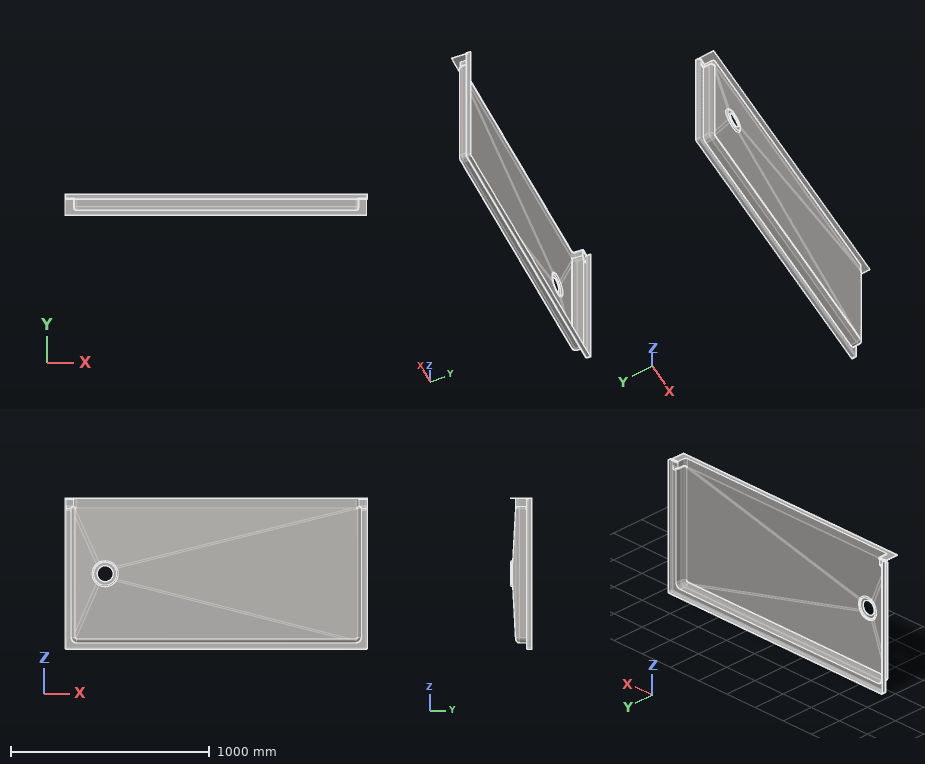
import cadquery as cq
import math

length = 1524.0
depth = 107.0
height = 762.0
sheet = 3.0

rim_y = 80.0
rim_fold = 8.0
rim_corner = 9.0

basin_side = 30.0
basin_bottom = 32.0
basin_top = 721.0
basin_corner = 29.0
basin_fillet = 21.0
basin_shoulder = 12.0
floor_y = 25.0

neck_side = 44.0
neck_fillet = 14.0
neck_overlap = 45.0

slope_start = 40.0
slope_top = 713.0
sump_y = 8.0
sump_half = 25.0
left_strip_width = 17.0
right_strip_width = 9.0

drain_x = 203.0
drain_z = height / 2
boss_radius = 65.0
boss_fillet = 8.0
hole_radius = 40.0

flange_length = 1520.0

bead_low = 703.0
bead_crest = 710.0
bead_high = 722.0
bead_rise = 3.0

cut_size = 3 * length


def block(x0, x1, y0, y1, z0, z1):
    """Box between two opposite corners."""
    return cq.Workplane("XY").box(x1 - x0, y1 - y0, z1 - z0, centered=False).translate((x0, y0, z0))


def drain_cylinder(radius, y0, y1):
    """Cylinder on the drain axis from y0 to y1."""
    axis = cq.Vector(0, 1, 0)
    return cq.Workplane(cq.Solid.makeCylinder(radius, y1 - y0, cq.Vector(drain_x, y0, drain_z), axis))


def rectangle_corners(x0, x1, y, z0, z1):
    """Corners of a rectangle facing -Y, counter-clockwise from the lower left."""
    return [cq.Vector(x0, y, z0), cq.Vector(x1, y, z0), cq.Vector(x1, y, z1), cq.Vector(x0, y, z1)]


def floor_crown():
    """Sloped part of the floor, reaching from the ends of the wall fillets to the drain."""
    x0 = basin_side + basin_fillet
    x1 = length - x0
    z0 = basin_bottom + basin_fillet
    crown = block(x0, x1, sump_y, floor_y + basin_fillet / 2, z0, slope_top)
    crown = crown.edges("|Y").fillet(basin_corner - basin_fillet)

    outer = rectangle_corners(slope_start, x1, floor_y, slope_start, slope_top)
    inner = rectangle_corners(
        drain_x - sump_half, drain_x + sump_half, sump_y, drain_z - sump_half, drain_z + sump_half
    )
    strip_widths = [left_strip_width, right_strip_width, right_strip_width, left_strip_width]

    normals = []
    for i in range(4):
        along_edge = outer[(i + 1) % 4] - outer[i]
        along_valley = inner[i] - outer[i]
        normals.append(along_edge.cross(along_valley).normalized())

    cuts = list(zip(inner, normals))
    for i in range(4):
        strip_normal = (normals[i - 1] + normals[i]).normalized()
        half_angle = normals[i - 1].getAngle(normals[i]) / 2
        strip_depth = strip_widths[i] / 2 * math.tan(half_angle)
        cuts.append((inner[i] - strip_normal * strip_depth, strip_normal))
    for point, normal in cuts:
        plane = cq.Plane(origin=point, normal=normal)
        crown = crown.cut(cq.Workplane(plane).rect(cut_size, cut_size).extrude(length))
    return crown


def basin_volume(inset, rear_y, top_z):
    """Solid shape of basin, neck and sloped floor, drawn in by inset on every wall."""
    side = basin_side + inset
    floor = floor_y + inset
    basin = block(side, length - side, floor, rear_y, basin_bottom + inset, basin_top - inset)
    basin = basin.edges("|Y and <Z").fillet(basin_corner - inset)
    basin = basin.faces("<Y").edges("not >Z").fillet(basin_fillet - inset)
    basin = basin.faces(">Z").edges("not >Y").fillet(basin_shoulder - inset)

    side = neck_side + inset
    neck = block(side, length - side, floor, rear_y, basin_top - neck_overlap, top_z)
    neck = neck.faces("<Y").edges("|Z").fillet(neck_fillet - inset)
    return basin.union(neck).union(floor_crown().translate((0, inset, 0)))


def rim_volume(inset, top_z):
    """Block enclosed by the rim plate and its lip; the lip is absent along the top."""
    rim = block(inset, length - inset, rim_y + inset, depth + inset, inset, top_z)
    rim = rim.edges("|Y and <Z").fillet(rim_corner - inset)
    return rim.faces("<Y").edges("not >Z").fillet(rim_fold - inset)


def entry_flange():
    """Flange across the top, with the solid rounded bend that joins it to the rim plate."""
    bend_back = rim_y + rim_fold
    flange = block(0, flange_length, 0, rim_y, height - sheet, height)
    bend = block(sheet, flange_length, rim_y, bend_back, height - rim_fold, height)
    round_bar = cq.Workplane("YZ").center(rim_y, height - rim_fold).circle(rim_fold).extrude(length)
    return flange.union(bend.intersect(round_bar))


def rim_bead():
    """Low triangular bead along the rim plate, between the two lip folds."""
    profile = [
        (rim_y + sheet, bead_low),
        (rim_y, bead_low),
        (rim_y - bead_rise, bead_crest),
        (rim_y, bead_high),
        (rim_y + sheet, bead_high),
    ]
    bead = cq.Workplane("YZ").workplane(offset=rim_fold).polyline(profile).close()
    return bead.extrude(length - 2 * rim_fold)


past_top = height + 15
past_back = depth + 15

boss = drain_cylinder(boss_radius, 0, floor_y).faces("<Y").edges().fillet(boss_fillet)
boss_hollow = drain_cylinder(boss_radius - boss_fillet, sheet, floor_y + basin_fillet)

outside = rim_volume(0, height).cut(rim_volume(sheet, past_top))
outside = outside.union(basin_volume(0, rim_y + sheet, height))
outside = outside.union(boss).union(entry_flange()).union(rim_bead())

hollow = basin_volume(sheet, past_back, past_top).union(boss_hollow)
drain_hole = drain_cylinder(hole_radius, -15, depth)

result = outside.cut(hollow).cut(drain_hole)